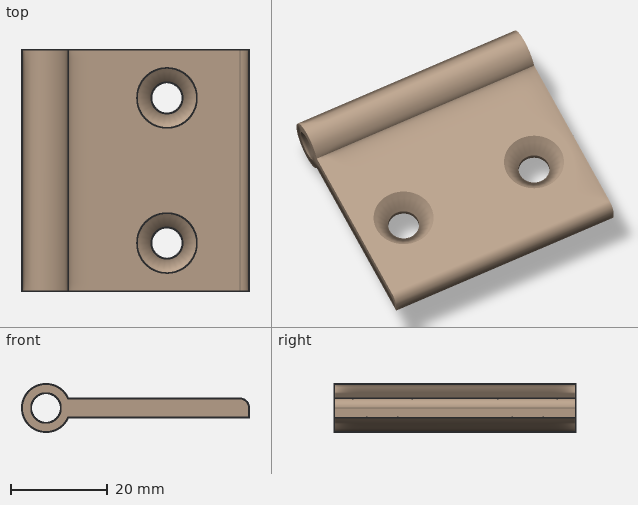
import cadquery as cq

length = 50.0
width = 47.0
barrel_diameter = 10.0
bore_diameter = 6.1
leaf_thickness = 4.0
edge_radius = 2.0
screw_hole_diameter = 6.4
countersink_diameter = 12.4
countersink_angle = 90.0
screw_offset = 25.0
screw_spacing = 30.0

leaf_reach = width - barrel_diameter / 2


def hinge_cylinder(diameter):
    """Cylinder around the hinge axis, as long as the part."""
    return cq.Workplane("XZ").circle(diameter / 2).extrude(length / 2, both=True)


def make_leaf():
    """Flat leaf from the hinge axis outward, with its upper free edge rounded."""
    leaf = cq.Workplane("XY").box(leaf_reach, length, leaf_thickness, centered=(False, True, True))
    return leaf.edges(">X and >Z").fillet(edge_radius)


def drill_screw_holes(body):
    """Countersunk screw holes through the leaf from its upper face."""
    half_spacing = screw_spacing / 2
    return (
        body.copyWorkplane(cq.Workplane("XY", origin=(screw_offset, 0, leaf_thickness / 2)))
        .pushPoints([(0, -half_spacing), (0, half_spacing)])
        .cskHole(screw_hole_diameter, countersink_diameter, countersink_angle)
    )


hinge = make_leaf().union(hinge_cylinder(barrel_diameter))
hinge = hinge.cut(hinge_cylinder(bore_diameter))
result = drill_screw_holes(hinge)